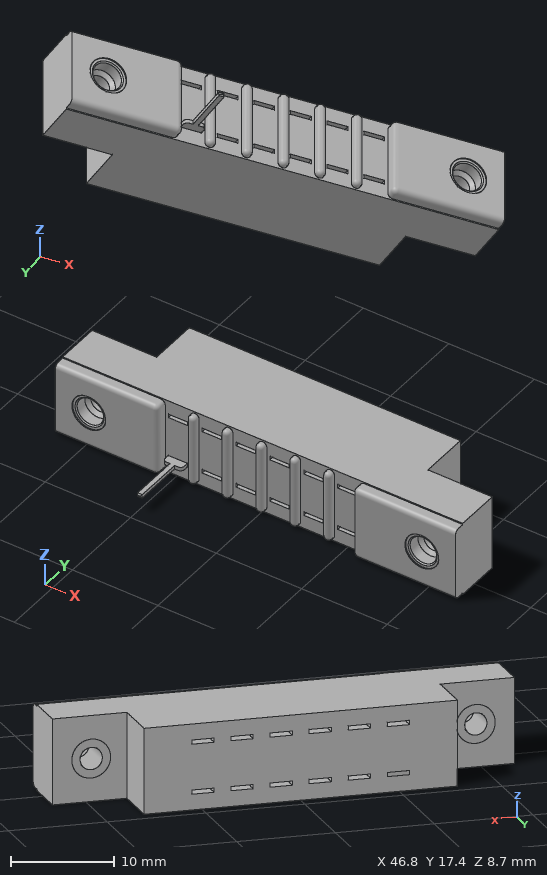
import cadquery as cq


total_length = 46.8
height = 8.7
block_length = 31.72
block_depth = 10.7
ear_depth = 5.1

pad_length = 12.03
pad_rise = 1.25
pad_inset = 0.15
pad_height = height - 2 * pad_inset
pad_radius = 0.55

column_count = 6
column_span = 19.8
column_pitch = column_span / (column_count - 1)
column_xs = [column_pitch * i - column_span / 2 for i in range(column_count)]
rib_xs = [x + column_pitch / 2 for x in column_xs[:-1]]
row_offset = 2.55
slot_width = 2.25
slot_thickness = 0.4

rib_width = 1.0
rib_radius = rib_width / 2
rib_rise = 0.75
rib_inset = 0.2
rib_height = height - 2 * rib_inset

bushing_xs = [-19.45, 19.45]
bushing_radius = 1.95
bushing_recess = 0.15
socket_radius = 1.55
socket_depth = 1.45
mouth_chamfer = 0.15
bore_radius = 1.1
cone_depth = 0.4

contact_x = column_xs[0]
contact_z = -row_offset
shoulder_rise = 1.0
shoulder_radius = 0.45
tail_width = 0.55
tail_reach = 6.7
tip_chamfer = 0.15


def box(x_range, y_range, z_range):
    sizes = [high - low for low, high in (x_range, y_range, z_range)]
    corner = cq.Vector(x_range[0], y_range[0], z_range[0])
    return cq.Workplane("XY").box(*sizes, centered=False).translate(corner)


def make_block():
    """Full-length ears with the deeper mating block between them."""
    half_height = height / 2
    ears = box((-total_length / 2, total_length / 2), (0, ear_depth), (-half_height, half_height))
    block = box((-block_length / 2, block_length / 2), (0, block_depth), (-half_height, half_height))
    return ears.union(block)


def make_left_pad():
    """Mounting pad, rounded on its front edges and on its inner corners."""
    left = -total_length / 2
    pad = box((left, left + pad_length), (-pad_rise, 0), (-pad_height / 2, pad_height / 2))
    pad = pad.edges(">X and |Y").fillet(pad_radius)
    return pad.faces("<Y").edges("not(<X)").fillet(pad_radius)


def make_rib(x):
    """Upright rib with a full-round front and domed ends."""
    center_span = rib_height - rib_width
    axis_y = rib_radius - rib_rise
    rib = (
        cq.Workplane("XZ")
        .slot2D(rib_height, rib_width, 90)
        .extrude(-axis_y)
        .union(
            cq.Workplane("XY", origin=(0, axis_y, -center_span / 2))
            .circle(rib_radius)
            .extrude(center_span)
        )
    )
    for end_z in (-center_span / 2, center_span / 2):
        rib = rib.union(cq.Workplane("XY", origin=(0, axis_y, end_z)).sphere(rib_radius))
    return rib.translate((x, 0, 0))


def make_slot(x, z):
    return box(
        (x - slot_width / 2, x + slot_width / 2),
        (0, block_depth),
        (z - slot_thickness / 2, z + slot_thickness / 2),
    )


def make_bushing_hole(x):
    """Cylinder to cut through the ear and its pad."""
    return (
        cq.Workplane("XZ", origin=(x, ear_depth, 0))
        .circle(bushing_radius)
        .extrude(ear_depth + pad_rise)
    )


def make_housing():
    left_pad = make_left_pad()
    housing = make_block().union(left_pad).union(left_pad.mirror("YZ"))
    for x in rib_xs:
        housing = housing.union(make_rib(x))
    for x in column_xs:
        for z in (-row_offset, row_offset):
            housing = housing.cut(make_slot(x, z))
    for x in bushing_xs:
        housing = housing.cut(make_bushing_hole(x))
    return housing


def make_bushing(x):
    """Bushing set below the pad face; its chamfered socket narrows through a cone to the bore."""
    front_y = bushing_recess - pad_rise
    socket_end = front_y + socket_depth
    profile = [
        (socket_radius + mouth_chamfer, front_y),
        (bushing_radius, front_y),
        (bushing_radius, ear_depth),
        (bore_radius, ear_depth),
        (bore_radius, socket_end + cone_depth),
        (socket_radius, socket_end),
        (socket_radius, front_y + mouth_chamfer),
    ]
    return (
        cq.Workplane("XY")
        .polyline(profile)
        .close()
        .revolve(360, (0, 0, 0), (0, 1, 0))
        .translate((x, 0, 0))
    )


def make_contact():
    """Flat blade filling one slot, with a rounded shoulder and a narrow tail."""
    z_range = (-slot_thickness / 2, slot_thickness / 2)
    blade = box((-slot_width / 2, slot_width / 2), (-shoulder_rise, block_depth), z_range)
    blade = blade.faces("<Y").edges("|Z").fillet(shoulder_radius)
    tail = box((-tail_width / 2, tail_width / 2), (-tail_reach, -shoulder_rise), z_range)
    tail = tail.faces("<Y").edges().chamfer(tip_chamfer)
    return blade.union(tail).translate((contact_x, 0, contact_z))


housing = make_housing()
bushings = [make_bushing(x) for x in bushing_xs]
contact = make_contact()

result = cq.Compound.makeCompound(
    [housing.val(), *[bushing.val() for bushing in bushings], contact.val()]
)